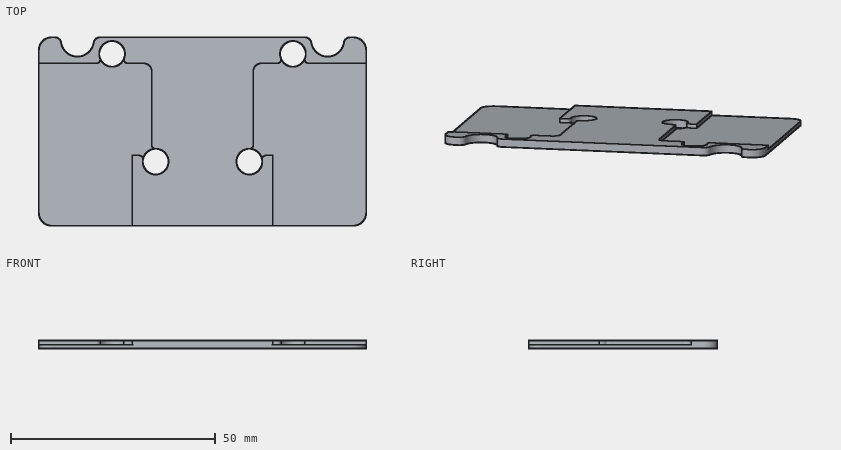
import cadquery as cq
import math

length = 80.0
width = 46.1
thickness = 2.0
floor_thickness = thickness / 2
corner_radius = 3.2

notch_x = 30.6
notch_y = 45.4
notch_radius = 4.0
notch_lip_radius = 1.6

hole_diameter = 6.2
hole_radius = hole_diameter / 2
rear_hole_x = 22.1
rear_hole_y = 42.0
front_hole_x = 11.4
front_hole_y = 15.7

recess_rear_y = 39.7
recess_inner_x = 12.4
recess_front_x = 17.1
shelf_y = 17.2
recess_corner_radius = 1.9
hole_blend_radius = 1.0


def chord_offset(radius, distance):
    """Half chord of a circle cut by a line at the given distance from its centre."""
    return math.sqrt(radius**2 - distance**2)


def make_plate():
    blank = cq.Workplane("XY").rect(length, width).extrude(thickness)
    return blank.edges("|Z").fillet(corner_radius).translate((0, width / 2, 0))


def make_notch():
    """Cutter for the right notch: a round scallop with lips flaring into the rear edge."""
    lip_center_y = width - notch_lip_radius
    center_drop = notch_y - lip_center_y
    center_distance = notch_radius + notch_lip_radius
    lip_offset = chord_offset(center_distance, center_drop)

    touch_ratio = notch_radius / center_distance
    touch_offset = lip_offset * touch_ratio
    touch_y = notch_y - center_drop * touch_ratio

    lip_angle = (math.pi / 2 + math.atan2(center_drop, lip_offset)) / 2
    lip_mid_offset = lip_offset - notch_lip_radius * math.cos(lip_angle)
    lip_mid_y = lip_center_y + notch_lip_radius * math.sin(lip_angle)

    return (
        cq.Workplane("XY")
        .moveTo(notch_x - lip_offset, width)
        .threePointArc((notch_x - lip_mid_offset, lip_mid_y), (notch_x - touch_offset, touch_y))
        .threePointArc((notch_x, notch_y - notch_radius), (notch_x + touch_offset, touch_y))
        .threePointArc((notch_x + lip_mid_offset, lip_mid_y), (notch_x + lip_offset, width))
        .close()
        .extrude(thickness)
    )


def make_holes():
    centers = [(rear_hole_x, rear_hole_y), (front_hole_x, front_hole_y)]
    return cq.Workplane("XY").pushPoints(centers).circle(hole_radius).extrude(thickness)


def make_recess():
    """Cutter for the right recess, its walls rounded where they run into the holes."""
    recess_depth = thickness - floor_thickness
    outline = [
        (length / 2, 0),
        (length / 2, recess_rear_y),
        (recess_inner_x, recess_rear_y),
        (recess_inner_x, shelf_y),
        (recess_front_x, shelf_y),
        (recess_front_x, 0),
    ]
    recess = cq.Workplane("XY").workplane(offset=floor_thickness).polyline(outline).close()
    recess = recess.extrude(recess_depth)
    mid_z = floor_thickness + recess_depth / 2
    inner_corner = cq.NearestToPointSelector((recess_inner_x, recess_rear_y, mid_z))
    recess = recess.edges("|Z").edges(inner_corner).fillet(recess_corner_radius)

    holes_above_floor = make_holes().intersect(
        cq.Workplane("XY")
        .box(length, width, recess_depth, centered=(True, False, False))
        .translate((0, 0, floor_thickness))
    )
    recess = recess.union(holes_above_floor)

    rear_offset = chord_offset(hole_radius, rear_hole_y - recess_rear_y)
    wall_offset = chord_offset(hole_radius, recess_inner_x - front_hole_x)
    shelf_offset = chord_offset(hole_radius, shelf_y - front_hole_y)
    wall_ends = [
        (rear_hole_x - rear_offset, recess_rear_y),
        (rear_hole_x + rear_offset, recess_rear_y),
        (recess_inner_x, front_hole_y + wall_offset),
        (front_hole_x + shelf_offset, shelf_y),
    ]
    for x, y in wall_ends:
        wall_end = cq.NearestToPointSelector((x, y, mid_z))
        recess = recess.edges("|Z").edges(wall_end).fillet(hole_blend_radius)
    return recess


result = make_plate()
for right_cutter in (make_notch(), make_recess(), make_holes()):
    result = result.cut(right_cutter).cut(right_cutter.mirror("YZ"))